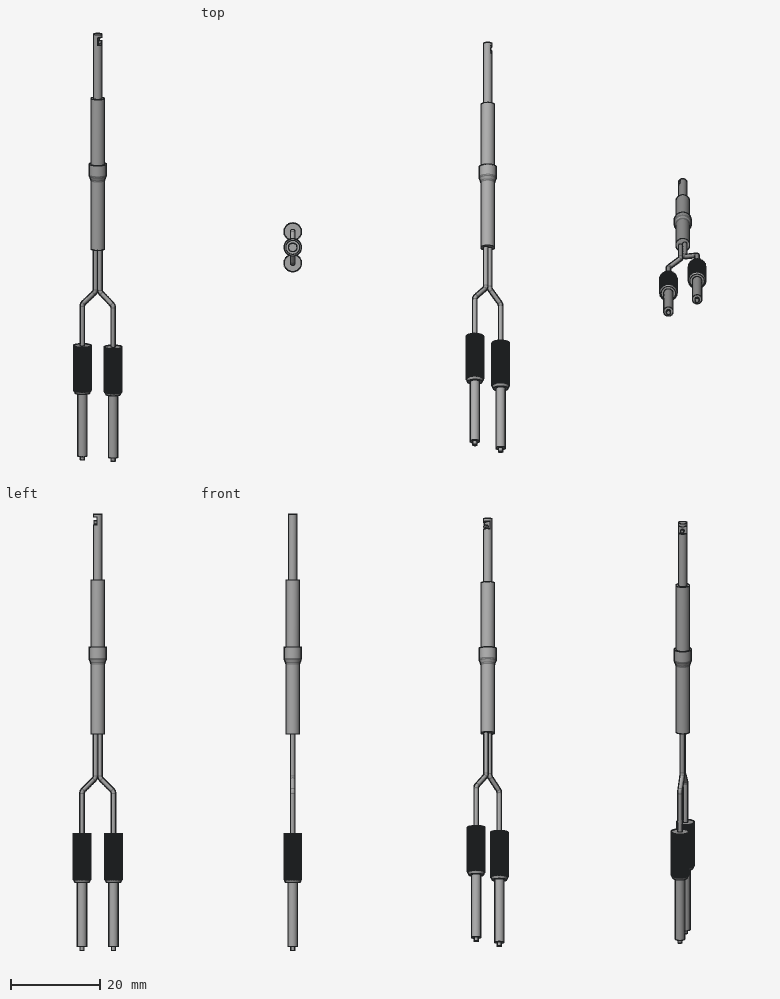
import cadquery as cq
import math

TOTAL_LENGTH = 98.1
PLUG_SPACING = 7.1

TIP_RADIUS = 1.0
TIP_LENGTH = 14.8
SLEEVE_RADIUS = 1.6
SLEEVE_BOTTOM = 48.7
COLLAR_RADIUS = 2.0
COLLAR_TOP = 68.2
COLLAR_LENGTH = 2.6
COLLAR_TAPER = 1.0
TAPER_BLEND_RADIUS = 0.8

NOTCH_TOP = 97.4
NOTCH_HEIGHT = 1.8
NOTCH_WALL = 0.2
STUD_RADIUS = 0.4
STUD_HEIGHT = 0.6
STUD_LENGTH = 0.7

WIRE_RADIUS = 0.53
WIRE_OFFSET = 0.52
FORK_TOP = 39.2
BEND_ANGLE = math.radians(45)
BEND_RADIUS = 1.1

GRIP_RADIUS = 2.01
GRIP_TOP = 26.3
GRIP_BOTTOM = 15.3
CHAMFER_WIDTH = 0.4
CHAMFER_HEIGHT = 0.8
FLUTE_COUNT = 40
FLUTE_DEPTH = 0.1
PIN_RADIUS = 1.1
CONTACT_RADIUS = 0.5
CONTACT_LENGTH = 0.9


def turn(profile):
    """Solid of revolution about Z from a closed outline of (radius, height) points."""
    return cq.Workplane("XZ").polyline(profile).close().revolve(360, (0, 0), (0, 1))


def rod(radius, bottom, top):
    return cq.Workplane("XY", origin=(0, 0, bottom)).circle(radius).extrude(top - bottom)


def make_probe():
    tip_bottom = TOTAL_LENGTH - TIP_LENGTH
    taper_top = COLLAR_TOP - COLLAR_LENGTH
    taper_bottom = taper_top - COLLAR_TAPER
    body = turn([
        (0, SLEEVE_BOTTOM),
        (SLEEVE_RADIUS, SLEEVE_BOTTOM),
        (SLEEVE_RADIUS, taper_bottom),
        (COLLAR_RADIUS, taper_top),
        (COLLAR_RADIUS, COLLAR_TOP),
        (SLEEVE_RADIUS, COLLAR_TOP),
        (SLEEVE_RADIUS, tip_bottom),
        (TIP_RADIUS, tip_bottom),
        (TIP_RADIUS, TOTAL_LENGTH),
        (0, TOTAL_LENGTH),
    ])

    reach = 2 * COLLAR_RADIUS
    margin = COLLAR_TAPER / 10
    taper_ends = cq.selectors.BoxSelector(
        (-reach, -reach, taper_bottom - margin),
        (reach, reach, taper_top + margin),
        boundingbox=True,
    )
    body = body.edges(taper_ends).edges("%CIRCLE").fillet(TAPER_BLEND_RADIUS)
    return body.cut(make_notch())


def make_notch():
    """Space cut from the +Y side of the tip, around a round stud along Y."""
    floor = NOTCH_TOP - NOTCH_HEIGHT
    notch = cq.Workplane("XY", origin=(0, NOTCH_WALL, floor)).box(
        2 * TIP_RADIUS, TIP_RADIUS, NOTCH_HEIGHT, centered=(True, False, False)
    )
    stud_base = cq.Workplane("XZ", origin=(0, NOTCH_WALL, floor + STUD_HEIGHT))
    stud = stud_base.circle(STUD_RADIUS).extrude(-STUD_LENGTH)
    return notch.cut(stud)


def make_wire(side):
    """One wire from the sleeve to a plug, bent outward and back; side is +1 or -1 along Y."""
    inner = WIRE_OFFSET
    outer = PLUG_SPACING / 2

    bend_out = BEND_RADIUS * (1 - math.cos(BEND_ANGLE))
    bend_drop = BEND_RADIUS * math.sin(BEND_ANGLE)
    half_out = BEND_RADIUS * (1 - math.cos(BEND_ANGLE / 2))
    half_drop = BEND_RADIUS * math.sin(BEND_ANGLE / 2)
    slope_drop = (outer - inner - 2 * bend_out) / math.tan(BEND_ANGLE)
    fork_bottom = FORK_TOP - 2 * bend_drop - slope_drop

    path = (
        cq.Workplane("YZ")
        .moveTo(side * inner, SLEEVE_BOTTOM)
        .lineTo(side * inner, FORK_TOP)
        .threePointArc(
            (side * (inner + half_out), FORK_TOP - half_drop),
            (side * (inner + bend_out), FORK_TOP - bend_drop),
        )
        .lineTo(side * (outer - bend_out), fork_bottom + bend_drop)
        .threePointArc(
            (side * (outer - half_out), fork_bottom + half_drop),
            (side * outer, fork_bottom),
        )
        .lineTo(side * outer, GRIP_TOP)
    )
    section = cq.Workplane("XY", origin=(0, side * inner, SLEEVE_BOTTOM)).circle(WIRE_RADIUS)
    return section.sweep(path)


def make_cable():
    return make_wire(1).union(make_wire(-1))


def make_grip():
    """Grip with straight V flutes all round, trimmed by a cone at its lower end."""
    outline = []
    for i in range(FLUTE_COUNT):
        ridge_angle = 2 * math.pi * i / FLUTE_COUNT
        root_angle = ridge_angle + math.pi / FLUTE_COUNT
        root_radius = GRIP_RADIUS - FLUTE_DEPTH
        outline.append((GRIP_RADIUS * math.cos(ridge_angle), GRIP_RADIUS * math.sin(ridge_angle)))
        outline.append((root_radius * math.cos(root_angle), root_radius * math.sin(root_angle)))
    height = GRIP_TOP - GRIP_BOTTOM
    fluted = cq.Workplane("XY", origin=(0, 0, GRIP_BOTTOM)).polyline(outline).close().extrude(height)

    envelope = turn([
        (0, GRIP_BOTTOM),
        (GRIP_RADIUS - CHAMFER_WIDTH, GRIP_BOTTOM),
        (GRIP_RADIUS, GRIP_BOTTOM + CHAMFER_HEIGHT),
        (GRIP_RADIUS, GRIP_TOP),
        (0, GRIP_TOP),
    ])
    return fluted.intersect(envelope)


def make_plug(side):
    """One plug, its wire entering the top of the grip; side is +1 or -1 along Y."""
    pin = rod(PIN_RADIUS, CONTACT_LENGTH, GRIP_BOTTOM)
    contact = rod(CONTACT_RADIUS, 0, CONTACT_LENGTH)
    plug = make_grip().union(pin).union(contact)
    return plug.translate((0, side * PLUG_SPACING / 2, 0))


probe = make_probe()
cable = make_cable()
plugs = [make_plug(side) for side in (1, -1)]

result = cq.Compound.makeCompound([probe.val(), cable.val(), *[plug.val() for plug in plugs]])